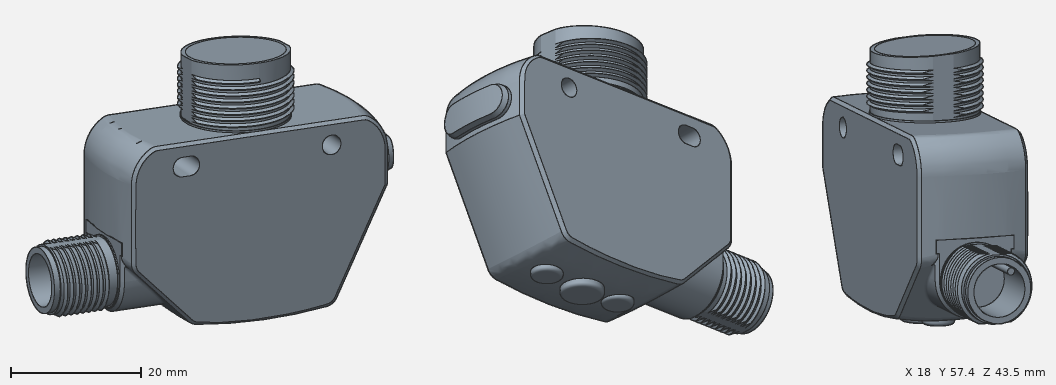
import cadquery as cq
import math

width = 18.0
half_length = 22.7
block_bottom = -31.4
crown_radius = 36.15
bottom_crown_radius = 45.9
bottom_arc_radius = 84.95
bottom_center_y = 1.25
corner_radius = 6.35
corner_drop = 5.75
corner_blend = 2.05
back_slope_top = -11.8
back_slope_ratio = 2.0
front_slope_top = -18.35
edge_round = 2.3
slope_round = 2.3
side_chamfer = 0.5
below = -45.9
oversize = 114.8

hole_diameter = 3.15
hole_y = 12.0
slot_y = -12.6
slot_length = 4.5
hole_z = -3.8

thread_pitch = 1.0
thread_base = 0.8
thread_sink = 0.1

head_radius = 8.45
head_thread_radius = 8.95
head_flat = 8.25
head_height = 10.45
head_tilt = 3.5
head_thread_start = 0.9
head_thread_turns = 7.25
head_thread_angle = 270.0
head_collar_radius = 8.55
head_collar_height = 0.3
lens_radius = 7.75
lens_thickness = 1.15

connector_z = -22.0
boss_radius = 6.34
boss_front = -22.4
boss_back = -11.5
boss_top = -15.6
boss_chamfer = 0.5
boss_chamfer_top = -17.75
boss_blend = 0.45
junction_tolerance = 0.005
connector_end = -33.2
connector_collar_radius = 5.7
connector_collar_length = 0.25
connector_radius = 5.45
connector_thread_radius = 6.0
connector_flat = 5.4
connector_thread_start = 1.2
connector_thread_turns = 8
connector_thread_angle = 90.0
tip_radius = 5.15
tip_length = 1.0
bore_radius = 4.16
bore_depth = 9.2
key_radius = 0.6
key_angle = 45.0
key_setback = 1.7

window_width = 14.05
window_height = 5.7
window_z = -8.1
window_floor = 20.65
window_rise = 1.5
window_bevel_depth = 0.9
window_bevel_inset = 0.35

indicator_floor = -29.85
indicator_edge = 0.5
indicator_spacing = 7.25
indicator_center_y = 1.3
small_radius = 2.5
small_bottom = -31.85
large_radius = 3.415
large_bottom = -32.55
indicator_kinds = [
    (-indicator_spacing, small_radius, small_bottom),
    (0, large_radius, large_bottom),
    (indicator_spacing, small_radius, small_bottom),
]


def end_outline():
    """Half outline from the crown axis out to the rounded corner and the end face."""
    axis_y = half_length - crown_radius
    center = (half_length - corner_radius, -corner_drop)
    blend_z = -corner_blend
    reach = corner_radius - corner_blend
    blend_y = center[0] + math.sqrt(reach**2 - (blend_z - center[1]) ** 2)
    touch_angle = math.atan2(blend_z - center[1], blend_y - center[0])
    mid_blend_angle = (touch_angle + math.pi / 2) / 2

    def on_arc(arc_center, radius, angle):
        return (arc_center[0] + radius * math.cos(angle), arc_center[1] + radius * math.sin(angle))

    return (
        cq.Workplane("YZ")
        .moveTo(axis_y, 0)
        .lineTo(blend_y, 0)
        .threePointArc(
            on_arc((blend_y, blend_z), corner_blend, mid_blend_angle),
            on_arc(center, corner_radius, touch_angle),
        )
        .threePointArc(
            on_arc(center, corner_radius, touch_angle / 2),
            (half_length, -corner_drop),
        )
    )


def square_end():
    """Crowned block end with a rounded top corner, running straight down."""
    axis_y = half_length - crown_radius
    outline = end_outline().lineTo(half_length, below).lineTo(axis_y, below).close()
    return outline.revolve(360, (axis_y, 0, 0), (axis_y, 1, 0))


def back_slope_cylinder():
    """Cylinder along the back slope, whose surface gives that slope its crown."""
    reach = 2 * half_length
    tilt = math.degrees(math.atan(1 / back_slope_ratio))
    return (
        cq.Workplane("XY")
        .circle(crown_radius)
        .extrude(reach, both=True)
        .translate((0, -crown_radius, 0))
        .rotate((0, 0, 0), (1, 0, 0), -tilt)
        .translate((0, half_length, back_slope_top))
    )


def bottom_barrel():
    """Solid whose underside is curved both lengthwise and sideways."""
    axis_z = block_bottom + bottom_crown_radius
    reach = half_length + 5.75
    end_z = block_bottom + bottom_arc_radius - math.sqrt(bottom_arc_radius**2 - reach**2)
    return (
        cq.Workplane("YZ")
        .moveTo(bottom_center_y - reach, axis_z)
        .lineTo(bottom_center_y - reach, end_z)
        .threePointArc((bottom_center_y, block_bottom), (bottom_center_y + reach, end_z))
        .lineTo(bottom_center_y + reach, axis_z)
        .close()
        .revolve(360, (0, axis_z, 0), (1, axis_z, 0))
    )


def front_slope_waste():
    drop = front_slope_top - below
    return (
        cq.Workplane("YZ")
        .moveTo(-half_length, front_slope_top)
        .lineTo(-half_length + drop, below)
        .lineTo(-half_length - drop, below)
        .lineTo(-half_length - drop, front_slope_top + drop)
        .close()
        .extrude(width, both=True)
    )


def edge_at(y, z):
    """Selector for the crosswise edge whose middle is near the given Y and Z."""
    return cq.selectors.NearestToPointSelector((0, y, z))


def block():
    slab = cq.Workplane("XY").box(width, oversize, oversize)
    back_end = square_end()
    front_end = back_end.rotate((0, 0, 0), (0, 0, 1), 180)
    body = slab.intersect(back_end).intersect(front_end).intersect(bottom_barrel())
    body = body.intersect(back_slope_cylinder())
    body = body.cut(front_slope_waste())
    bottom_front_y = -half_length + front_slope_top - block_bottom
    bottom_back_y = half_length - (back_slope_top - block_bottom) / back_slope_ratio
    body = body.edges(edge_at(-half_length, front_slope_top)).fillet(slope_round)
    body = body.edges(edge_at(bottom_front_y, block_bottom)).fillet(edge_round)
    body = body.edges(edge_at(bottom_back_y, block_bottom)).fillet(edge_round)
    return body.faces("<X or >X").edges().chamfer(side_chamfer)


def mounting_holes():
    side = cq.Workplane("YZ", origin=(0, 0, hole_z))
    hole = side.center(hole_y, 0).circle(hole_diameter / 2).extrude(width, both=True)
    slot = side.center(slot_y, 0).slot2D(slot_length, hole_diameter).extrude(width, both=True)
    return hole.union(slot)


def thread_ridge(core_radius, crest_radius, start, turns, start_angle):
    """Helical ridge around the Z axis, sunk slightly into its core."""
    inner = core_radius - thread_sink
    helix = cq.Wire.makeHelix(thread_pitch, thread_pitch * turns, inner)
    ridge = (
        cq.Workplane("XZ")
        .moveTo(inner, -thread_base / 2)
        .lineTo(crest_radius, 0)
        .lineTo(inner, thread_base / 2)
        .close()
        .sweep(cq.Workplane(helix), isFrenet=True)
    )
    return ridge.rotate((0, 0, 0), (0, 0, 1), start_angle).translate((0, 0, start))


def tilted_above(height):
    """Space above the slanted plane that crosses the head axis at the given height."""
    size = 4 * head_radius
    return (
        cq.Workplane("XY")
        .rect(size, size)
        .extrude(size)
        .rotate((0, 0, 0), (0, 1, 0), -head_tilt)
        .translate((0, 0, height))
    )


def lens():
    disc = cq.Workplane("XY").circle(lens_radius).extrude(2 * head_height)
    return disc.intersect(tilted_above(head_height - lens_thickness)).cut(tilted_above(head_height))


def head():
    core = cq.Workplane("XY").circle(head_radius).extrude(2 * head_height)
    ridge = thread_ridge(
        head_radius, head_thread_radius, head_thread_start, head_thread_turns, head_thread_angle
    )
    core = core.union(ridge)
    flats = cq.Workplane("XY").box(4 * head_radius, 2 * head_flat, 6 * head_height)
    collar = cq.Workplane("XY").circle(head_collar_radius).extrude(head_collar_height)
    return core.intersect(flats).cut(tilted_above(head_height)).union(collar)


def boss_prism(front):
    """U-shaped prism around the connector axis, from inside the block to the given Y."""
    height = boss_top - connector_z
    return (
        cq.Workplane("XZ", origin=(0, boss_back, connector_z))
        .moveTo(-boss_radius, height)
        .lineTo(boss_radius, height)
        .lineTo(boss_radius, 0)
        .threePointArc((0, -boss_radius), (-boss_radius, 0))
        .close()
        .extrude(boss_back - front)
    )


def boss_front_waste():
    """Space in front of the flat boss face, where the crowned front would stand proud."""
    in_front = cq.Workplane("XY").box(width, 2 * half_length, oversize)
    return boss_prism(-2 * half_length).intersect(in_front.translate((0, boss_front - half_length, 0)))


def boss():
    prism = boss_prism(boss_front)
    lower_rim = cq.selectors.BoxSelector(
        (-2 * boss_radius, boss_front - boss_chamfer, connector_z - 2 * boss_radius),
        (2 * boss_radius, boss_front + boss_chamfer, boss_top - boss_chamfer),
    )
    square_rimmed = prism.intersect(
        cq.Workplane("XY", origin=(0, 0, boss_chamfer_top)).rect(oversize, oversize).extrude(oversize)
    )
    return prism.edges(lower_rim).chamfer(boss_chamfer).union(square_rimmed)


def blend_boss(body):
    """Round the junction between the boss and the front slope."""
    slope_sum = -half_length + front_slope_top

    def on_junction(edge):
        middle = edge.positionAt(0.5)
        on_slope = abs(middle.y + middle.z - slope_sum) < junction_tolerance
        beside_boss = abs(middle.x) < boss_radius + junction_tolerance
        above_underside = middle.z > connector_z - boss_radius - junction_tolerance
        return on_slope and beside_boss and above_underside

    junction = [edge for edge in body.edges().vals() if on_junction(edge)]
    return body.newObject(junction).fillet(boss_blend)


def window_column(length):
    """Round-ended column from the window floor toward the back."""
    return (
        cq.Workplane("XZ", origin=(0, window_floor, window_z))
        .slot2D(window_width, window_height)
        .extrude(-length)
    )


def window():
    crown = (
        cq.Workplane("XY", origin=(0, half_length - crown_radius, below))
        .circle(crown_radius + window_rise)
        .extrude(-below)
    )
    blank = window_column(half_length).intersect(crown)
    return blank.faces(">Y").edges().chamfer(window_bevel_depth, window_bevel_inset)


def indicator_column(offset, radius, bottom):
    """Round column from the indicator floor down to the given height."""
    return (
        cq.Workplane("XY", origin=(0, indicator_center_y + offset, indicator_floor))
        .circle(radius)
        .extrude(bottom - indicator_floor)
    )


def indicator(offset, radius, bottom):
    return indicator_column(offset, radius, bottom).faces("<Z").edges().fillet(indicator_edge)


def housing():
    body = block().cut(boss_front_waste())
    body = blend_boss(body.union(boss()))
    body = body.union(head())
    body = body.cut(mounting_holes()).cut(lens()).cut(window_column(half_length))
    for offset, radius, _ in indicator_kinds:
        body = body.cut(indicator_column(offset, radius, below))
    return body


def connector():
    """Threaded tube with a keyed bore, built along +Z and then turned toward -Y."""
    length = boss_front - connector_end
    bore_floor = cq.Workplane("XY", origin=(0, 0, length - bore_depth))
    tube = cq.Workplane("XY").circle(connector_radius).extrude(length - tip_length)
    ridge = thread_ridge(
        connector_radius,
        connector_thread_radius,
        connector_thread_start,
        connector_thread_turns,
        connector_thread_angle,
    )
    flats = cq.Workplane("XY").box(4 * connector_radius, 2 * connector_flat, 4 * length)
    tube = tube.union(ridge).intersect(flats)
    tube = tube.union(cq.Workplane("XY").circle(tip_radius).extrude(length))
    tube = tube.union(cq.Workplane("XY").circle(connector_collar_radius).extrude(connector_collar_length))
    tube = tube.cut(bore_floor.circle(bore_radius).extrude(bore_depth))
    key_offset = bore_radius - key_radius
    key_x = key_offset * math.cos(math.radians(key_angle))
    key_y = key_offset * math.sin(math.radians(key_angle))
    key = bore_floor.center(key_x, key_y).circle(key_radius).extrude(bore_depth - key_setback)
    tube = tube.union(key)
    return tube.rotate((0, 0, 0), (1, 0, 0), 90).translate((0, boss_front, connector_z))


bodies = [housing(), lens(), window(), connector()]
bodies += [indicator(*kind) for kind in indicator_kinds]
result = cq.Compound.makeCompound([body.val() for body in bodies])